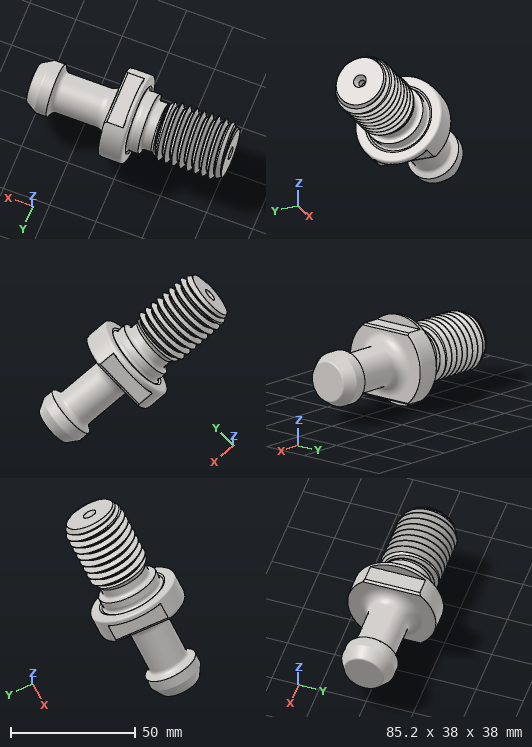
import cadquery as cq
import math


margin = 0.85

root_radius = 10.4
crest_radius = 12.7
first_full_crest = 3.9
last_full_crest = 26.15
full_crest_gaps = 7
pitch = (last_full_crest - first_full_crest) / full_crest_gaps
crest_flat = 0.25
foot_gap = 0.1
root_overlap = 0.25
lead_turns = 2
helix_start = first_full_crest - lead_turns * pitch
thread_turns = 11
lead_in_angle = 30
crest_clearance = 0.1
thread_full_end = 26.7
thread_end = 30.3

neck_fillet_start = 33.5
neck_fillet_rise = 1.5
collar_start = 35.0
collar_radius = 12.9
collar_taper_length = 0.4
collar_taper_height = 0.1
undercut_start = 37.8
undercut_slope_end = 38.7
undercut_radius = 12.7
undercut_depth = 0.4
undercut_fillet = 1.0
undercut_rim_radius = 14.6

flange_start = 39.8
flange_end = 50.0
flange_radius = 19.0
flange_fillet = 1.0
rim_thickness = 2.1
flat_half_height = 15.0
back_chamfer_length = 1.0
back_chamfer_height = 0.25
flat_chamfer_height = 0.8

shank_radius = 8.5
shank_fillet = 5.0
head_fillet = 2.1
head_radius = 11.3
head_start = 75.4
head_rear_angle = 60
head_cone_start = 80.2
head_cone_angle = 30
head_edge_fillet = 0.85
total_length = 85.2

hole_mouth_radius = 2.7
hole_radius = 1.4
hole_depth = 5.1
countersink_angle = 60
drill_tip_angle = 120


def revolve_about_x(profile):
    return profile.close().revolve(360, (0, 0, 0), (1, 0, 0))


def make_body():
    """Revolved body from the relief neck to the head."""
    undercut_floor_x = flange_start + undercut_depth
    quarter_arc = math.sqrt(0.5)
    shank_start = flange_end + shank_fillet
    rear_angle = math.radians(head_rear_angle)
    rear_corner_x = head_start - (head_radius - shank_radius) / math.tan(rear_angle)
    rear_tangent = head_fillet * math.tan(rear_angle / 2)
    rear_fillet_start = rear_corner_x - rear_tangent
    rear_fillet_end = (
        rear_corner_x + rear_tangent * math.cos(rear_angle),
        shank_radius + rear_tangent * math.sin(rear_angle),
    )
    rear_fillet_middle = (
        rear_fillet_start + head_fillet * math.sin(rear_angle / 2),
        shank_radius + head_fillet * (1 - math.cos(rear_angle / 2)),
    )
    nose_radius = head_radius - (total_length - head_cone_start) * math.tan(math.radians(head_cone_angle))

    body = revolve_about_x(
        cq.Workplane("XY")
        .moveTo(thread_end, 0)
        .lineTo(thread_end, root_radius)
        .lineTo(neck_fillet_start, root_radius)
        .threePointArc(
            (
                neck_fillet_start + neck_fillet_rise * quarter_arc,
                root_radius + neck_fillet_rise * (1 - quarter_arc),
            ),
            (collar_start, root_radius + neck_fillet_rise),
        )
        .lineTo(collar_start, collar_radius - collar_taper_height)
        .lineTo(collar_start + collar_taper_length, collar_radius)
        .lineTo(undercut_start, collar_radius)
        .lineTo(undercut_slope_end, undercut_radius)
        .lineTo(undercut_floor_x - undercut_fillet, undercut_radius)
        .threePointArc(
            (
                undercut_floor_x - undercut_fillet * (1 - quarter_arc),
                undercut_radius + undercut_fillet * (1 - quarter_arc),
            ),
            (undercut_floor_x, undercut_radius + undercut_fillet),
        )
        .lineTo(flange_start, undercut_rim_radius)
        .lineTo(flange_start, flange_radius - flange_fillet)
        .threePointArc(
            (
                flange_start + flange_fillet * (1 - quarter_arc),
                flange_radius - flange_fillet * (1 - quarter_arc),
            ),
            (flange_start + flange_fillet, flange_radius),
        )
        .lineTo(flange_end - back_chamfer_length, flange_radius)
        .lineTo(flange_end, flange_radius - back_chamfer_height)
        .lineTo(flange_end, shank_radius + shank_fillet)
        .threePointArc(
            (
                flange_end + shank_fillet * (1 - quarter_arc),
                shank_radius + shank_fillet * (1 - quarter_arc),
            ),
            (shank_start, shank_radius),
        )
        .lineTo(rear_fillet_start, shank_radius)
        .threePointArc(rear_fillet_middle, rear_fillet_end)
        .lineTo(head_start, head_radius)
        .lineTo(head_cone_start, head_radius)
        .lineTo(total_length, nose_radius)
        .lineTo(total_length, 0)
    )
    head_edges = cq.selectors.BoxSelector(
        (head_cone_start - margin, -flange_radius, -flange_radius),
        (total_length + margin, flange_radius, flange_radius),
    )
    return body.edges("%CIRCLE").edges(head_edges).fillet(head_edge_fillet)


def make_flat_cutter(side):
    """Cutter for one wrench flat; side is +1 for the top and -1 for the bottom."""
    outside = flange_radius + margin
    return (
        cq.Workplane("XZ")
        .moveTo(flange_start + rim_thickness, side * outside)
        .lineTo(flange_start + rim_thickness, side * flat_half_height)
        .lineTo(flange_end - back_chamfer_length, side * flat_half_height)
        .lineTo(flange_end, side * (flat_half_height - flat_chamfer_height))
        .lineTo(flange_end, side * outside)
        .close()
        .extrude(outside, both=True)
    )


def make_thread():
    """Core with a right-hand helical tooth, trimmed by the lead-in and run-out cones."""
    base_radius = root_radius - root_overlap
    half_base = (pitch - foot_gap) / 2
    half_crest = crest_flat / 2
    helix = cq.Wire.makeHelix(pitch, pitch * thread_turns, root_radius)
    tooth = (
        cq.Workplane("XZ")
        .moveTo(base_radius, -half_base)
        .lineTo(crest_radius, -half_crest)
        .lineTo(crest_radius, half_crest)
        .lineTo(base_radius, half_base)
        .close()
        .sweep(cq.Workplane(obj=helix), isFrenet=True)
        .rotate((0, 0, 0), (0, 1, 0), 90)
        .translate((helix_start, 0, 0))
    )
    core = (
        cq.Workplane("YZ")
        .workplane(offset=2 * helix_start)
        .circle(root_radius)
        .extrude(pitch * (thread_turns + lead_turns))
    )
    envelope_radius = crest_radius + crest_clearance
    lead_in_length = (envelope_radius - root_radius) / math.tan(math.radians(lead_in_angle))
    envelope = revolve_about_x(
        cq.Workplane("XY")
        .lineTo(0, root_radius)
        .lineTo(lead_in_length, envelope_radius)
        .lineTo(thread_full_end, envelope_radius)
        .lineTo(thread_end, root_radius)
        .lineTo(thread_end, 0)
    )
    return core.union(tooth).intersect(envelope)


def make_centre_hole():
    """Countersunk blind hole with a conical drill tip."""
    countersink_depth = (hole_mouth_radius - hole_radius) / math.tan(math.radians(countersink_angle / 2))
    tip_length = hole_radius / math.tan(math.radians(drill_tip_angle / 2))
    return revolve_about_x(
        cq.Workplane("XY")
        .lineTo(0, hole_mouth_radius)
        .lineTo(countersink_depth, hole_radius)
        .lineTo(hole_depth, hole_radius)
        .lineTo(hole_depth + tip_length, 0)
    )


body = make_body()
for side in (1, -1):
    body = body.cut(make_flat_cutter(side))
result = body.union(make_thread()).cut(make_centre_hole())